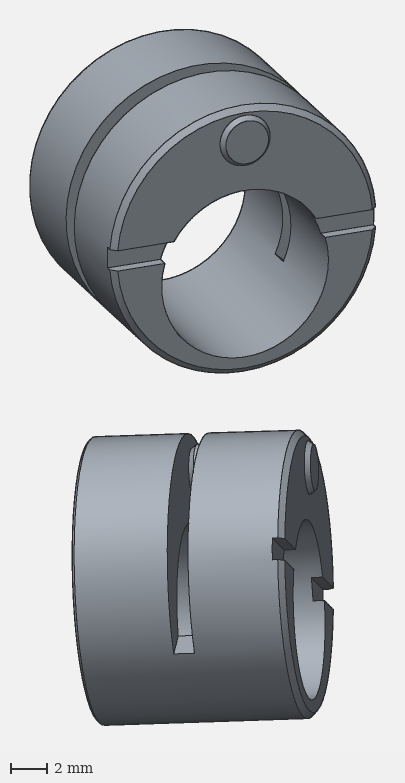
import cadquery as cq
import math

outer_radius = 8.0
collar_length = 11.92
bore_radius = 5.0
bore_drop = 2.0
front_chamfer = 0.15
rear_chamfer = 0.34

slit_start = 5.38
slit_width = 1.17
slit_end_angle = 42.0

groove_width = 1.22
groove_depth = 0.64

screw_radius = 1.5
screw_height = 6.0
screw_protrusion = 0.3
screw_chamfer_length = 0.3
screw_chamfer_depth = 0.22
screw_length = collar_length + screw_protrusion - slit_start


def x_cylinder(radius, x_start, length, z_center):
    """Cylinder along +X, starting at x_start."""
    return (
        cq.Workplane("YZ", origin=(x_start, 0, z_center))
        .circle(radius)
        .extrude(length)
    )


def make_slit():
    """Wedge-ended slab that leaves only the lower sector of the collar joined."""
    reach = 2 * outer_radius
    side = reach * math.cos(math.radians(slit_end_angle))
    drop = reach * math.sin(math.radians(slit_end_angle))
    return (
        cq.Workplane("YZ", origin=(slit_start, 0, 0))
        .moveTo(0, 0)
        .lineTo(side, -drop)
        .lineTo(side, reach)
        .lineTo(-side, reach)
        .lineTo(-side, -drop)
        .close()
        .extrude(slit_width)
    )


def make_groove():
    """Straight groove through the full width of the +X end."""
    return cq.Workplane("XY").box(2 * groove_depth, 2 * outer_radius, groove_width).translate(
        (collar_length, 0, 0)
    )


def make_collar():
    collar = x_cylinder(outer_radius, 0, collar_length, 0)
    collar = collar.faces("<X").chamfer(front_chamfer)
    collar = collar.faces(">X").chamfer(rear_chamfer)
    collar = collar.cut(x_cylinder(bore_radius, 0, collar_length, -bore_drop))
    collar = collar.cut(make_slit())
    collar = collar.cut(make_groove())
    screw_hole_start = slit_start + slit_width
    screw_hole_length = collar_length - screw_hole_start
    return collar.cut(x_cylinder(screw_radius, screw_hole_start, screw_hole_length, screw_height))


def make_screw():
    """Revolved pin with a tapered tip at each end."""
    tip_radius = screw_radius - screw_chamfer_depth
    return (
        cq.Workplane("XY")
        .moveTo(0, 0)
        .lineTo(0, tip_radius)
        .lineTo(screw_chamfer_length, screw_radius)
        .lineTo(screw_length - screw_chamfer_length, screw_radius)
        .lineTo(screw_length, tip_radius)
        .lineTo(screw_length, 0)
        .close()
        .revolve(360, (0, 0, 0), (1, 0, 0))
        .translate((slit_start, 0, screw_height))
    )


collar = make_collar()
screw = make_screw()
result = cq.Compound.makeCompound([collar.val(), screw.val()])